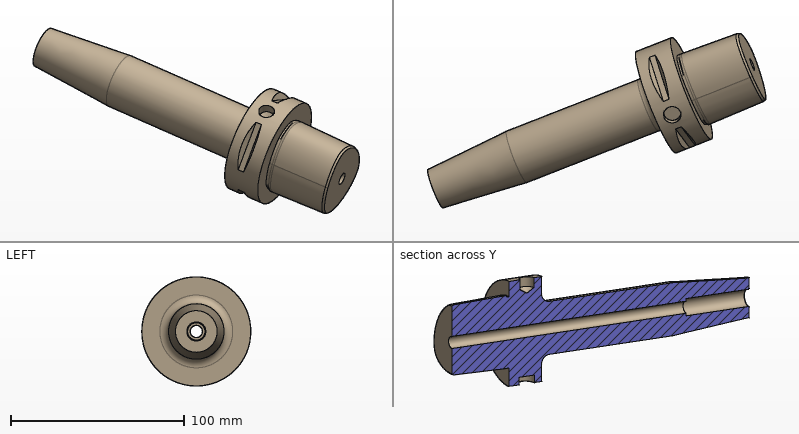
import cadquery as cq
import math


projection = 160.0
nose_radius = 12.0
body_radius = 16.0
nose_taper_angle = 4.5
nose_taper_length = (body_radius - nose_radius) / math.tan(math.radians(nose_taper_angle))

flange_radius = 31.5
flange_width = 22.0
body_fillet_radius = 5.0

tool_bore_diameter = 10.0
tool_bore_depth = 42.0
tool_bore_chamfer = 0.5
through_bore_diameter = 6.92

grip_plane_x = -12.0
slot_floor_distance = 27.8
slot_floor_width = 3.5
slot_flank_angle = 30.0
slot_angles = (45, 135, 225, 315)
locating_hole_diameter = 9.0
locating_hole_depth = 6.0
drill_point_angle = 118.0
chip_pocket_diameter = 10.0
chip_pocket_depth = 4.5

shank_length = 38.0
gauge_radius = 22.0
lobe_height = 1.4
shank_taper = 1 / 40
neck_length = 1.8
neck_relief = 0.1
lead_length = 1.2
end_chamfer_length = 1.4
end_chamfer_height = 0.6
undercut_radius = 22.4
undercut_length = 1.2

lobe_count = 3
points_per_side = 25


def turned_body():
    """Nose cone, cylindrical body, fillet and flange as one revolved outline."""
    nose_x = -projection
    flange_x = -flange_width
    fillet_middle = body_fillet_radius * (1 - math.sqrt(0.5))
    outline = (
        cq.Workplane("XY")
        .moveTo(nose_x, 0)
        .lineTo(nose_x, nose_radius)
        .lineTo(nose_x + nose_taper_length, body_radius)
        .lineTo(flange_x - body_fillet_radius, body_radius)
        .threePointArc(
            (flange_x - fillet_middle, body_radius + fillet_middle),
            (flange_x, body_radius + body_fillet_radius),
        )
        .lineTo(flange_x, flange_radius)
        .lineTo(0, flange_radius)
        .lineTo(0, 0)
        .close()
    )
    return outline.revolve(360, (0, 0, 0), (1, 0, 0))


def polygon_point(x, mean_radius, angle):
    """Point of the three-lobed curve whose tangent distance is mean + lobe * cos(3 * angle)."""
    distance = mean_radius + lobe_height * math.cos(lobe_count * angle)
    slide = -lobe_count * lobe_height * math.sin(lobe_count * angle)
    along_lobe = distance * math.cos(angle) - slide * math.sin(angle)
    across_lobe = distance * math.sin(angle) + slide * math.cos(angle)
    return cq.Vector(x, across_lobe, along_lobe)


def polygon_wire(x, mean_radius):
    """Closed three-lobed section, one lobe on +Z, joined at the middle of each flat side."""
    pitch = 2 * math.pi / lobe_count
    sides = []
    for lobe in range(lobe_count):
        start = (lobe - 0.5) * pitch
        angles = [start + pitch * i / (points_per_side - 1) for i in range(points_per_side)]
        points = [polygon_point(x, mean_radius, angle) for angle in angles]
        tangents = [cq.Vector(0, math.cos(a), -math.sin(a)) for a in (angles[0], angles[-1])]
        sides.append(cq.Edge.makeSpline(points, tangents=tangents))
    return cq.Wire.assembleEdges(sides)


def taper_radius(x):
    return gauge_radius - shank_taper * x


def taper_shank():
    """Neck, lead-in, tapered polygon and end chamfer, with the lobes relieved at the flange."""
    taper_start = neck_length + lead_length
    chamfer_start = shank_length - end_chamfer_length
    neck_radius = gauge_radius - neck_relief
    sections = [
        (0, neck_radius),
        (neck_length, neck_radius),
        (taper_start, taper_radius(taper_start)),
        (chamfer_start, taper_radius(chamfer_start)),
        (shank_length, taper_radius(shank_length) - end_chamfer_height),
    ]
    wires = [polygon_wire(x, radius) for x, radius in sections]
    shank = cq.Workplane(obj=cq.Solid.makeLoft(wires, True))

    relief_outer_radius = gauge_radius + 2 * lobe_height
    relief = (
        cq.Workplane("XY")
        .moveTo(0, undercut_radius)
        .lineTo(undercut_length, undercut_radius)
        .lineTo(neck_length, gauge_radius + lobe_height)
        .lineTo(neck_length, relief_outer_radius)
        .lineTo(0, relief_outer_radius)
        .close()
        .revolve(360, (0, 0, 0), (1, 0, 0))
    )
    return shank.cut(relief)


def gripper_slot(angle):
    """Straight V-flanked slot across the flange rim, turned about X by the given angle."""
    depth = flange_radius - slot_floor_distance
    half_floor = slot_floor_width / 2
    half_top = half_floor + depth * math.tan(math.radians(slot_flank_angle))
    slot = (
        cq.Workplane("XZ")
        .moveTo(grip_plane_x - half_floor, slot_floor_distance)
        .lineTo(grip_plane_x + half_floor, slot_floor_distance)
        .lineTo(grip_plane_x + half_top, flange_radius)
        .lineTo(grip_plane_x - half_top, flange_radius)
        .close()
        .extrude(flange_radius, both=True)
    )
    return slot.rotate((0, 0, 0), (1, 0, 0), angle)


def locating_hole():
    """Radial drilled hole with a conical bottom, entering the flange from +Z."""
    radius = locating_hole_diameter / 2
    shoulder_z = flange_radius - locating_hole_depth
    point_z = shoulder_z - radius / math.tan(math.radians(drill_point_angle / 2))
    return (
        cq.Workplane("XZ", origin=(grip_plane_x, 0, 0))
        .moveTo(0, point_z)
        .lineTo(radius, shoulder_z)
        .lineTo(radius, flange_radius)
        .lineTo(0, flange_radius)
        .close()
        .revolve(360, (0, 0, 0), (0, 1, 0))
    )


def chip_pocket():
    """Flat-bottomed round pocket in the flange rim, opposite the locating hole."""
    return (
        cq.Workplane("XY", origin=(grip_plane_x, 0, -flange_radius))
        .circle(chip_pocket_diameter / 2)
        .extrude(chip_pocket_depth)
    )


def axial_bores():
    """Chamfered tool bore in the nose, continued by a narrower bore through the whole part."""
    nose_x = -projection
    bore_end_x = nose_x + tool_bore_depth
    tool_radius = tool_bore_diameter / 2
    through_radius = through_bore_diameter / 2
    return (
        cq.Workplane("XY")
        .moveTo(nose_x, 0)
        .lineTo(nose_x, tool_radius + tool_bore_chamfer)
        .lineTo(nose_x + tool_bore_chamfer, tool_radius)
        .lineTo(bore_end_x, tool_radius)
        .lineTo(bore_end_x, through_radius)
        .lineTo(shank_length, through_radius)
        .lineTo(shank_length, 0)
        .close()
        .revolve(360, (0, 0, 0), (1, 0, 0))
    )


holder = turned_body().union(taper_shank())
for slot_angle in slot_angles:
    holder = holder.cut(gripper_slot(slot_angle))
holder = holder.cut(locating_hole())
holder = holder.cut(chip_pocket())
result = holder.cut(axial_bores())